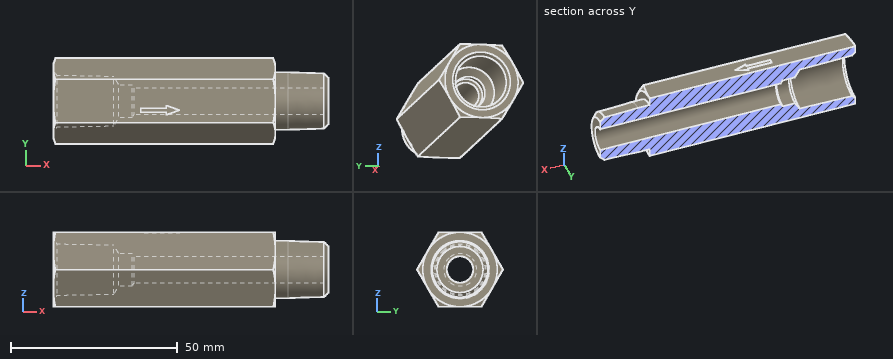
import cadquery as cq
import math

total_length = 82.55
spigot_length = 16
hex_length = total_length - spigot_length

across_flats = 22.352
across_corners = across_flats / math.cos(math.pi / 6)
corner_chamfer_angle = math.radians(20)

pipe_taper = 1 / 16
spigot_diameter = 17.3
neck_length = 3.8
tip_chamfer = 1.4

mouth_diameter = 17.6
bore_start_diameter = 15.5
bore_end_diameter = 14.9
bore_depth = 18
mouth_chamfer = (mouth_diameter - bore_start_diameter) / 2
counterbore_diameter = 9.8
counterbore_length = 4
passage_diameter = 7.85
drill_half_angle = math.radians(59)

arrow_tail_x = 26.2
arrow_y = -2.75
arrow_length = 11.6
arrow_head_length = 3.9
arrow_shaft_width = 1.3
arrow_head_width = 2.8
arrow_depth = 0.1


def revolve_about_x(profile):
    """Solid of revolution from (x, radius) points, closed along the X axis."""
    closed = [(profile[0][0], 0)] + profile + [(profile[-1][0], 0)]
    return cq.Workplane("XY").polyline(closed).close().revolve(360, (0, 0, 0), (1, 0, 0))


def hex_body():
    """Hexagonal bar with two flats square to Z and its corners turned off at both ends."""
    bar = cq.Workplane("YZ").polygon(6, across_corners).extrude(hex_length)
    face_radius = across_flats / 2
    corner_radius = across_corners / 2
    chamfer_length = (corner_radius - face_radius) * math.tan(corner_chamfer_angle)
    envelope = revolve_about_x([
        (0, face_radius),
        (chamfer_length, corner_radius),
        (hex_length - chamfer_length, corner_radius),
        (hex_length, face_radius),
    ])
    return bar.intersect(envelope)


def spigot():
    """Straight neck, pipe taper and chamfered tip."""
    neck_end = hex_length + neck_length
    taper_end = total_length - tip_chamfer
    taper_end_radius = (spigot_diameter - (taper_end - neck_end) * pipe_taper) / 2
    return revolve_about_x([
        (hex_length, spigot_diameter / 2),
        (neck_end, spigot_diameter / 2),
        (taper_end, taper_end_radius),
        (total_length, taper_end_radius - tip_chamfer),
    ])


def drill_point_length(start_diameter, end_diameter):
    """Axial length of a drill-point cone between two diameters."""
    return (start_diameter - end_diameter) / 2 / math.tan(drill_half_angle)


def flow_passage():
    """Chamfered tapered inlet, counterbore and the hole through to the spigot tip."""
    counterbore_start = bore_depth + drill_point_length(bore_end_diameter, counterbore_diameter)
    counterbore_end = counterbore_start + counterbore_length
    passage_start = counterbore_end + drill_point_length(counterbore_diameter, passage_diameter)
    return revolve_about_x([
        (0, mouth_diameter / 2),
        (mouth_chamfer, bore_start_diameter / 2),
        (bore_depth, bore_end_diameter / 2),
        (counterbore_start, counterbore_diameter / 2),
        (counterbore_end, counterbore_diameter / 2),
        (passage_start, passage_diameter / 2),
        (total_length, passage_diameter / 2),
    ])


def flow_arrow():
    """Arrow pointing from the inlet to the spigot."""
    tip_x = arrow_tail_x + arrow_length
    head_x = tip_x - arrow_head_length
    shaft_half = arrow_shaft_width / 2
    head_half = arrow_head_width / 2
    outline = [
        (arrow_tail_x, arrow_y - shaft_half),
        (head_x, arrow_y - shaft_half),
        (head_x, arrow_y - head_half),
        (tip_x, arrow_y),
        (head_x, arrow_y + head_half),
        (head_x, arrow_y + shaft_half),
        (arrow_tail_x, arrow_y + shaft_half),
    ]
    floor = cq.Workplane("XY", origin=(0, 0, across_flats / 2 - arrow_depth))
    return floor.polyline(outline).close().extrude(arrow_depth)


result = hex_body().union(spigot()).cut(flow_passage()).cut(flow_arrow())